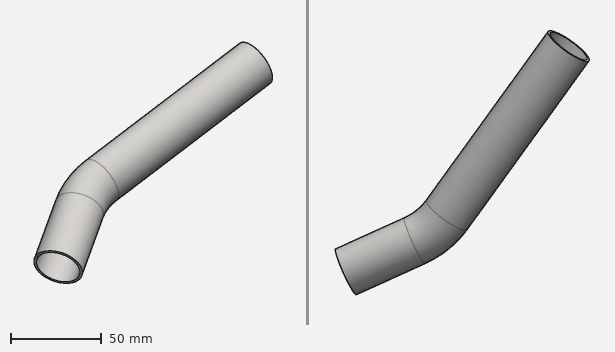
import cadquery as cq
import math

overall_length = 183.8
outer_diameter = 28.0
inner_diameter = 25.0
bend_angle = 30.0
bend_radius = 44.8
short_leg = 42.0

sin_bend = math.sin(math.radians(bend_angle))
cos_bend = math.cos(math.radians(bend_angle))
end_face_overhang = outer_diameter / 2 * sin_bend
long_leg = overall_length - bend_radius * sin_bend - short_leg * cos_bend - end_face_overhang

long_end = (0, long_leg)
bend_start = (0, 0)
bend_end = (bend_radius * (1 - cos_bend), -bend_radius * sin_bend)
short_end = (bend_end[0] + short_leg * sin_bend, bend_end[1] - short_leg * cos_bend)


def bent_rod(diameter):
    """Solid round rod following the pipe centreline."""
    centreline = (
        cq.Workplane("XY")
        .moveTo(*long_end)
        .lineTo(*bend_start)
        .tangentArcPoint(bend_end, relative=False)
        .lineTo(*short_end)
    )
    long_end_plane = cq.Workplane("XZ", origin=(*long_end, 0))
    return long_end_plane.circle(diameter / 2).sweep(centreline)


result = bent_rod(outer_diameter).cut(bent_rod(inner_diameter))